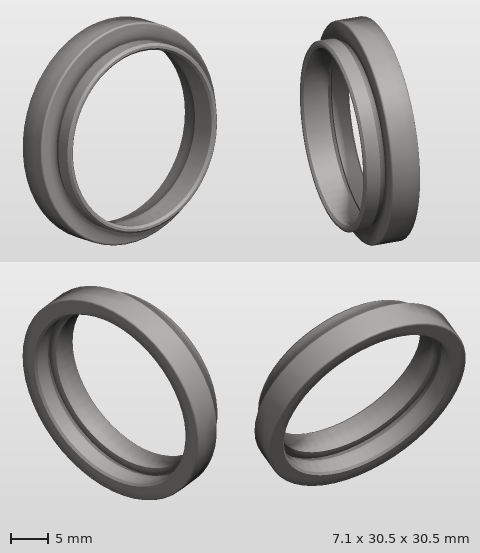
import cadquery as cq

total_length = 7.1
flange_length = 4.1
neck_length = 0.8
counterbore_depth = 3.32
relief_length = 0.8

flange_diameter = 30.5
neck_diameter = 25.2
rim_diameter = 26.0
bore_diameter = 24.1
counterbore_diameter = 25.6
relief_diameter = 26.4

flange_fillet = 0.27
rim_chamfer = 0.3
mouth_chamfer = 0.3
bore_chamfer = 0.3


def disc(start, length, diameter):
    """Solid cylinder on the X axis, beginning at X = start."""
    return cq.Workplane("YZ", origin=(start, 0, 0)).circle(diameter / 2).extrude(length)


neck_end = flange_length + neck_length
flange = disc(0, flange_length, flange_diameter).edges().fillet(flange_fillet)
neck = disc(flange_length, neck_length, neck_diameter)
rim = disc(neck_end, total_length - neck_end, rim_diameter).edges(">X").chamfer(rim_chamfer)
body = flange.union(neck).union(rim)

bore = disc(0, total_length, bore_diameter)
counterbore = disc(0, counterbore_depth, counterbore_diameter)
relief = disc(counterbore_depth - relief_length, relief_length, relief_diameter)
ring = body.cut(bore).cut(counterbore).cut(relief)

inner_edge = cq.selectors.RadiusNthSelector(0)
ring = ring.faces("<X").edges(inner_edge).chamfer(mouth_chamfer)
result = ring.faces(">X").edges(inner_edge).chamfer(bore_chamfer)